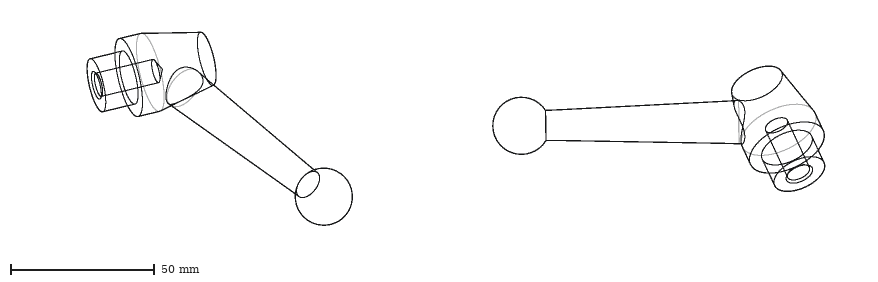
import cadquery as cq
import math

hub_diameter = 28.0
stem_diameter = 19.0
crown_diameter = 19.0
stem_length = 12.0
collar_length = 8.0
hub_length = 41.0

bore_diameter = 8.3
mouth_diameter = 10.0
bore_depth = 22.0
drill_point_angle = 118

overall_x = 107
overall_y = 64.0
ball_diameter = 20.0
arm_angle = 20
root_diameter = 15.2
root_length = 12.5
arm_ball_diameter = 10.0

hub_radius = hub_diameter / 2
ball_radius = ball_diameter / 2
ball_x = overall_x - hub_radius - ball_radius
ball_y = overall_y - ball_radius


def revolve_about_y(profile):
    return cq.Workplane("XY").polyline(profile).close().revolve(360, (0, 0), (0, 1))


def make_hub():
    collar_top = stem_length + collar_length
    return revolve_about_y([
        (0, 0),
        (stem_diameter / 2, 0),
        (stem_diameter / 2, stem_length),
        (hub_radius, stem_length),
        (hub_radius, collar_top),
        (crown_diameter / 2, hub_length),
        (0, hub_length),
    ])


def make_lever():
    """Arm and ball turned about one inclined axis that crosses the hub axis."""
    angle = math.radians(arm_angle)
    length = ball_x / math.cos(angle)
    axis_start_y = ball_y - ball_x * math.tan(angle)
    arm = revolve_about_y([
        (0, 0),
        (root_diameter / 2, 0),
        (root_diameter / 2, root_length),
        (arm_ball_diameter / 2, length),
        (0, length),
    ])
    ball = (
        cq.Workplane("XY")
        .moveTo(0, length - ball_radius)
        .threePointArc((ball_radius, length), (0, length + ball_radius))
        .close()
        .revolve(360, (0, 0), (0, 1))
    )
    lever = arm.union(ball)
    lever = lever.rotate((0, 0, 0), (0, 0, 1), arm_angle - 90)
    return lever.translate((0, axis_start_y, 0))


def make_bore():
    bore_radius = bore_diameter / 2
    mouth_radius = mouth_diameter / 2
    chamfer = mouth_radius - bore_radius
    point_length = bore_radius / math.tan(math.radians(drill_point_angle / 2))
    return revolve_about_y([
        (0, 0),
        (mouth_radius, 0),
        (bore_radius, chamfer),
        (bore_radius, bore_depth),
        (0, bore_depth + point_length),
    ])


result = make_hub().union(make_lever()).cut(make_bore())